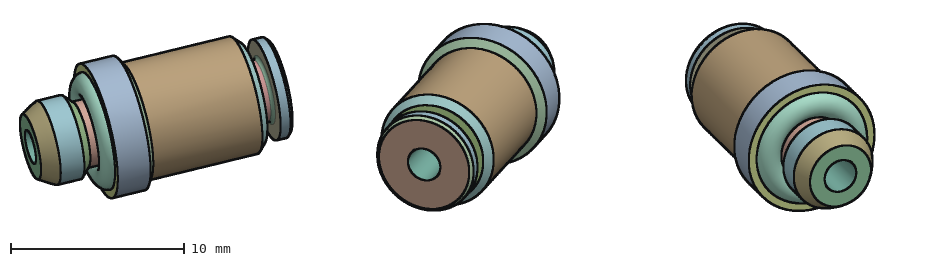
import cadquery as cq
import math

length = 15.0
bore_radius = 1.0

tip_radius = 1.94
nose_radius = 2.5
nose_taper_end = 1.0
nose_rear = 2.45
nose_neck_radius = 1.96
nose_neck_front = nose_rear + nose_radius - nose_neck_radius
nose_taper_bulge = 0.03

body_radius = 3.5
flange_front = 3.98
ring_height = 0.68
ring_crest_radius = (body_radius + nose_neck_radius) / 2
ring_front = flange_front - ring_height

flange_diameter = 8.0
flange_radius = flange_diameter / 2
flange_bevel_front = 5.97
flange_rear = 6.3
body_bevel_front = 12.93
body_rear = 13.4
body_rear_radius = body_radius - (body_rear - body_bevel_front)

collar_neck_radius = 1.85
cone_rear = 13.52
collar_fillet = 0.21
collar_radius = 3.0
collar_front = 14.2
collar_chamfer = 0.2

taper_run = nose_taper_end
taper_rise = nose_radius - tip_radius
taper_slant = math.hypot(taper_run, taper_rise)
taper_middle = (
    (tip_radius + nose_radius) / 2 + nose_taper_bulge * taper_run / taper_slant,
    nose_taper_end / 2 - nose_taper_bulge * taper_rise / taper_slant,
)

fillet_reach = collar_fillet * (1 - math.sqrt(0.5))
fillet_middle = (collar_neck_radius + fillet_reach, collar_front - fillet_reach)

profile = (
    cq.Workplane("XY")
    .moveTo(bore_radius, 0)
    .lineTo(tip_radius, 0)
    .threePointArc(taper_middle, (nose_radius, nose_taper_end))
    .lineTo(nose_radius, nose_rear)
    .lineTo(nose_neck_radius, nose_neck_front)
    .lineTo(nose_neck_radius, flange_front)
    .threePointArc((ring_crest_radius, ring_front), (body_radius, flange_front))
    .lineTo(flange_radius, flange_front)
    .lineTo(flange_radius, flange_bevel_front)
    .lineTo(body_radius, flange_rear)
    .lineTo(body_radius, body_bevel_front)
    .lineTo(body_rear_radius, body_rear)
    .lineTo(collar_neck_radius, cone_rear)
    .lineTo(collar_neck_radius, collar_front - collar_fillet)
    .threePointArc(fillet_middle, (collar_neck_radius + collar_fillet, collar_front))
    .lineTo(collar_radius, collar_front)
    .lineTo(collar_radius, length - collar_chamfer)
    .lineTo(collar_radius - collar_chamfer, length)
    .lineTo(bore_radius, length)
    .close()
)

result = profile.revolve(360, (0, 0, 0), (0, 1, 0))